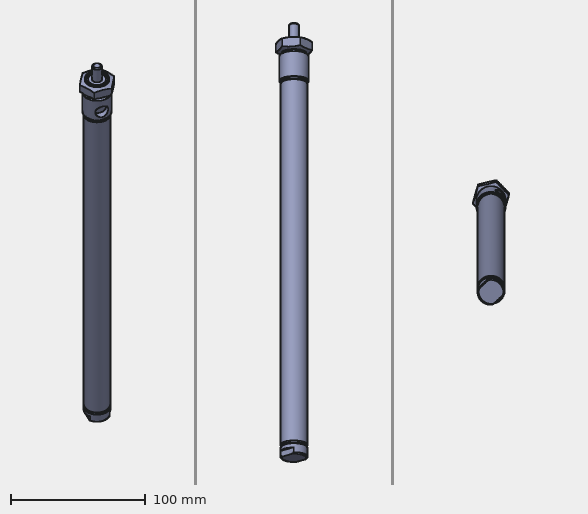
import cadquery as cq
import math

total_height = 342.0

barrel_diameter = 20.2
collar_diameter = 22.0
collar_height = 19.5
nut_gap = 2.5
neck_diameter = 16.0
neck_chamfer = 1.5
bottom_chamfer = 1.0

crimp_depth = 0.5
crimp_width = 2.5
lower_crimp_bottom = 8.0

flats_distance = 15.7
flats_height = 4.8

port_diameter = 10.3
port_depth = 5.0
port_rise = 8.2

rod_diameter = 7.5
rod_chamfer = 1.0
rod_stickout = 13.5
rod_length_inside = 30.8

nut_across_flats = 24.0
nut_height = 9.5
nut_chamfer_angle = 20.0
nut_face_diameter = 18.5

nut_top = total_height - rod_stickout
nut_bottom = nut_top - nut_height
collar_top = nut_bottom - nut_gap
collar_bottom = collar_top - collar_height
rod_bottom = nut_top - rod_length_inside
port_height = collar_bottom + port_rise


def cylinder(diameter, bottom, top):
    return cq.Workplane("XY").workplane(offset=bottom).circle(diameter / 2).extrude(top - bottom)


def crimp_ring(bottom):
    """Ring of triangular section that leaves a shallow V groove around the barrel."""
    barrel_radius = barrel_diameter / 2
    return (
        cq.Workplane("XZ")
        .moveTo(barrel_radius, bottom)
        .lineTo(barrel_radius - crimp_depth, bottom + crimp_width / 2)
        .lineTo(barrel_radius, bottom + crimp_width)
        .close()
        .revolve(360, (0, 0, 0), (0, 1, 0))
    )


def wrench_flat(side):
    """Block that cuts one flat; side is +1 or -1 along Y."""
    block = cq.Workplane("XY").box(
        barrel_diameter, barrel_diameter, flats_height, centered=(True, True, False)
    )
    return block.translate((0, side * (flats_distance + barrel_diameter) / 2, 0))


def make_body():
    body = cylinder(barrel_diameter, 0, collar_bottom).faces("<Z").chamfer(bottom_chamfer)
    body = body.union(cylinder(collar_diameter, collar_bottom, collar_top))
    body = body.union(cylinder(neck_diameter, collar_top, nut_top).faces(">Z").chamfer(neck_chamfer))
    for bottom in (lower_crimp_bottom, collar_bottom - crimp_width):
        body = body.cut(crimp_ring(bottom))
    for side in (-1, 1):
        body = body.cut(wrench_flat(side))
    port = (
        cq.Workplane("YZ", origin=(collar_diameter / 2 - port_depth, 0, port_height))
        .circle(port_diameter / 2)
        .extrude(port_depth)
    )
    return body.cut(port).cut(cylinder(rod_diameter, rod_bottom, nut_top))


def make_rod():
    return cylinder(rod_diameter, rod_bottom, total_height).faces(">Z").chamfer(rod_chamfer)


def make_nut():
    """Hexagon with corners on the Y axis and both faces bevelled by a cone."""
    corner_radius = nut_across_flats / math.sqrt(3)
    face_radius = nut_face_diameter / 2
    bevel_drop = (corner_radius - face_radius) * math.tan(math.radians(nut_chamfer_angle))
    hexagon = (
        cq.Workplane("XY", origin=(0, 0, nut_bottom))
        .transformed(rotate=(0, 0, 90))
        .polygon(6, 2 * corner_radius)
        .extrude(nut_height)
    )
    bevel_envelope = (
        cq.Workplane("XZ")
        .moveTo(0, nut_bottom)
        .lineTo(face_radius, nut_bottom)
        .lineTo(corner_radius, nut_bottom + bevel_drop)
        .lineTo(corner_radius, nut_top - bevel_drop)
        .lineTo(face_radius, nut_top)
        .lineTo(0, nut_top)
        .close()
        .revolve(360, (0, 0, 0), (0, 1, 0))
    )
    return hexagon.intersect(bevel_envelope).cut(cylinder(neck_diameter, nut_bottom, nut_top))


body = make_body()
rod = make_rod()
nut = make_nut()

result = cq.Compound.makeCompound([body.val(), rod.val(), nut.val()])